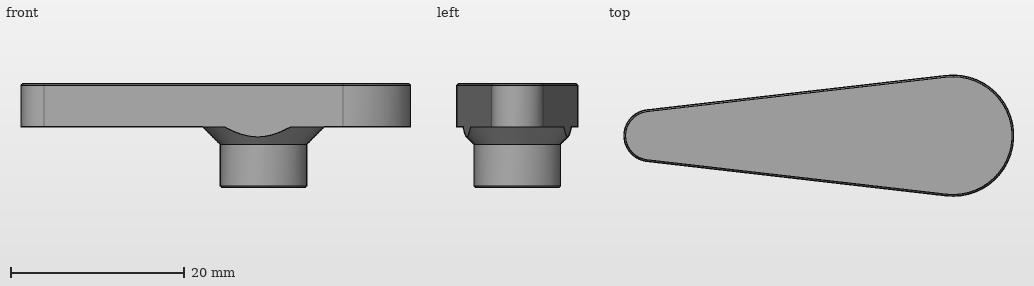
import cadquery as cq
import math

TIP_RADIUS = 3.0
HEAD_RADIUS = 7.0
ARM_LENGTH = 45.0
ARM_THICKNESS = 5.0
TOP_CHAMFER = 0.2

TIP_END_TO_HUB = 28.0
HUB_RADIUS = 5.0
HUB_LENGTH = 5.0
HUB_CHAMFER = 0.2

COLLAR_RADIUS = 7.0
COLLAR_HEIGHT = 2.0

COLLAR_BOTTOM = HUB_LENGTH
ARM_BOTTOM = COLLAR_BOTTOM + COLLAR_HEIGHT
ARM_TOP = ARM_BOTTOM + ARM_THICKNESS

TIP_X = TIP_RADIUS - TIP_END_TO_HUB
HEAD_X = ARM_LENGTH - TIP_END_TO_HUB - HEAD_RADIUS


def lever_prism(bottom, top):
    """Extrude the tangent-sided lever outline between two heights."""
    taper = math.asin((HEAD_RADIUS - TIP_RADIUS) / (HEAD_X - TIP_X))
    normal_x = -math.sin(taper)
    normal_y = math.cos(taper)
    tip_x = TIP_X + TIP_RADIUS * normal_x
    tip_y = TIP_RADIUS * normal_y
    head_x = HEAD_X + HEAD_RADIUS * normal_x
    head_y = HEAD_RADIUS * normal_y
    return (
        cq.Workplane("XY", origin=(0, 0, bottom))
        .moveTo(tip_x, tip_y)
        .lineTo(head_x, head_y)
        .threePointArc((HEAD_X + HEAD_RADIUS, 0), (head_x, -head_y))
        .lineTo(tip_x, -tip_y)
        .threePointArc((TIP_X - TIP_RADIUS, 0), (tip_x, tip_y))
        .close()
        .extrude(top - bottom)
    )


def make_arm():
    """Flat lever arm with its top rim chamfered."""
    return lever_prism(ARM_BOTTOM, ARM_TOP).faces(">Z").chamfer(TOP_CHAMFER)


def make_hub():
    """Round hub, chamfered at its free end and running up to the arm."""
    return cq.Workplane("XY").circle(HUB_RADIUS).extrude(ARM_BOTTOM).faces("<Z").chamfer(HUB_CHAMFER)


def make_collar():
    """Cone widening up to the arm, trimmed flush with the arm's sides."""
    cone = (
        cq.Workplane("XZ")
        .moveTo(0, COLLAR_BOTTOM)
        .lineTo(HUB_RADIUS, COLLAR_BOTTOM)
        .lineTo(COLLAR_RADIUS, ARM_BOTTOM)
        .lineTo(0, ARM_BOTTOM)
        .close()
        .revolve(360, (0, 0, 0), (0, 1, 0))
    )
    return cone.intersect(lever_prism(COLLAR_BOTTOM, ARM_BOTTOM))


result = make_arm().union(make_collar()).union(make_hub())